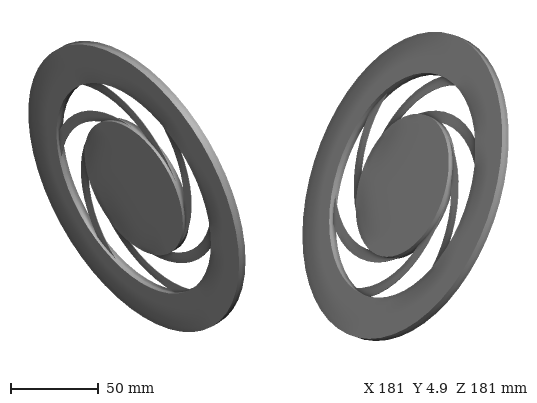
import cadquery as cq
import math

outer_radius = 90.5
thickness = 4.9
ring_inner_radius = 66.3
disc_radius = 42.2

spoke_count = 6
spoke_thickness = 0.4
spoke_center_y = -0.49
spoke_outer_radius = 67.0
spoke_width = 6.5
arc_center_x = -19.5
arc_center_z = 16.1
spoke_start_angle = -50
spoke_end_angle = 60


def plate(depth, center_y=0.0):
    """Sketch plane whose extrusion of the given depth toward -Y is centred on center_y."""
    return cq.Workplane("XZ", origin=(0, center_y + depth / 2, 0))


def arc_point(radius, angle):
    """Point on a circle about the spoke's arc centre."""
    turn = math.radians(angle)
    return (arc_center_x + radius * math.cos(turn), arc_center_z + radius * math.sin(turn))


def make_spoke():
    """Band between two concentric arcs."""
    inner_radius = spoke_outer_radius - spoke_width
    middle_angle = (spoke_start_angle + spoke_end_angle) / 2
    return (
        plate(spoke_thickness, spoke_center_y)
        .moveTo(*arc_point(spoke_outer_radius, spoke_start_angle))
        .threePointArc(
            arc_point(spoke_outer_radius, middle_angle),
            arc_point(spoke_outer_radius, spoke_end_angle),
        )
        .lineTo(*arc_point(inner_radius, spoke_end_angle))
        .threePointArc(
            arc_point(inner_radius, middle_angle),
            arc_point(inner_radius, spoke_start_angle),
        )
        .close()
        .extrude(spoke_thickness)
    )


ring = plate(thickness).circle(outer_radius).circle(ring_inner_radius).extrude(thickness)
disc = plate(thickness).circle(disc_radius).extrude(thickness)

result = ring.union(disc)
spoke = make_spoke()
for index in range(spoke_count):
    result = result.union(spoke.rotate((0, 0, 0), (0, 1, 0), index * 360 / spoke_count))